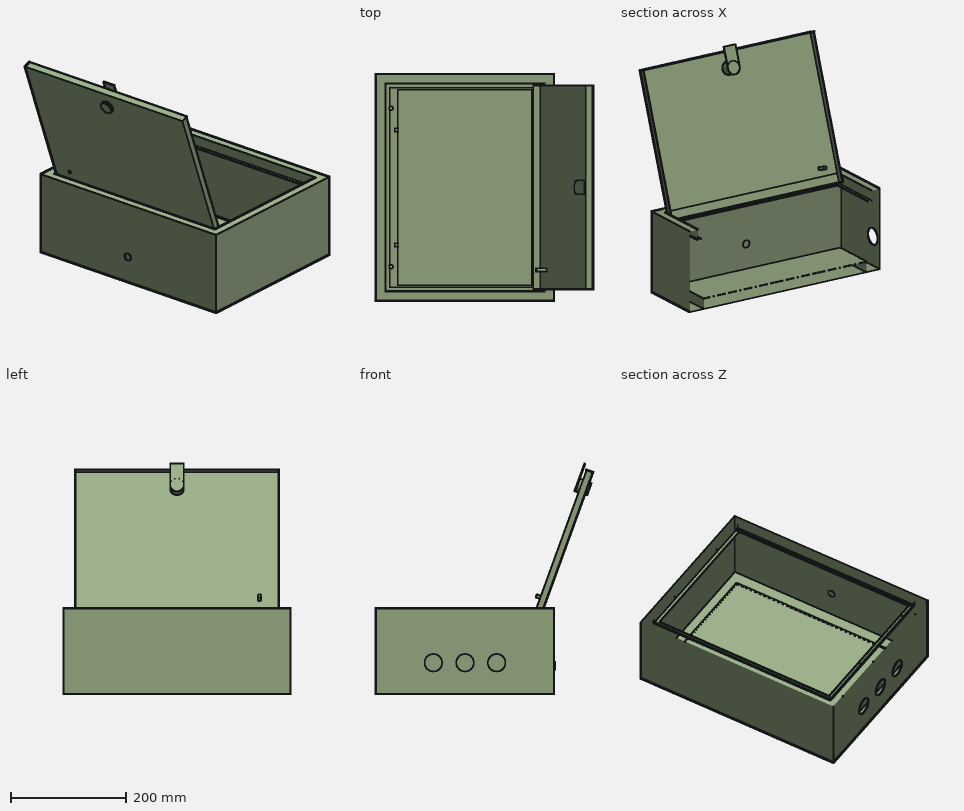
import cadquery as cq
import math


sheet = 1.5

box_x = 310.5
box_y = 395.0
box_z = 150.3
rim_width = 18.0
ledge_inset = 24.5
ledge_top = 131.5
cable_hole_diameter = 30.5
cable_hole_count = 3
cable_hole_pitch = 55.0
cable_hole_z = 55.0
fixing_hole_diameter = 6.5
fixing_hole_inset = 27.0
fixing_hole_y = 137.5
hinge_hole_diameter = 6.0
hinge_hole_inset = 29.0
hinge_hole_z = 141.0
middle_x = box_x / 2

tray_x = 232.5
tray_y = 339.0
tray_top = 21.0
tray_sheet = 2.0
screw_diameter = 6.0
screw_reach = 6.0
screw_y = 99.8
tray_min_x = middle_x - tray_x / 2
screw_z = (sheet + tray_top) / 2

door_lean = 20
door_length = 267.7
door_width = 355.0
end_flange_depth = 14.0
side_flange_depth = 12.5
door_top_x = 378.5
door_top_z = 386.0

lock_drop = 31.0
lock_diameter = 24.0
lock_head_diameter = 22.5
lock_head_thickness = 3.5
cam_width = 24.0
cam_thickness = 2.0
cam_underside = 18.0
cam_overhang = 8.5
door_stud_diameter = 6.0
door_stud_tip = 20.0
door_stud_drop = 236.0
door_stud_y = -143.0
wall_stud_diameter = 13.5
wall_stud_thickness = 1.5
wall_stud_z = 49.5

lean = math.radians(door_lean)
door_plane = cq.Plane(
    origin=(door_top_x, 0, door_top_z),
    xDir=(math.sin(lean), 0, math.cos(lean)),
    normal=(-math.cos(lean), 0, math.sin(lean)),
)


def block(x0, x1, y0, y1, z0, z1):
    """Box between two opposite corners."""
    return cq.Workplane("XY").box(x1 - x0, y1 - y0, z1 - z0, centered=False).translate((x0, y0, z0))


def centred_block(inset, z0, z1):
    """Box concentric with the enclosure, inset equally from all four outer walls."""
    half_y = box_y / 2 - inset
    return block(inset, box_x - inset, -half_y, half_y, z0, z1)


def door_block(x0, x1, y0, y1, z0, z1):
    """Box given in the frame of the door."""
    base = cq.Workplane(door_plane).workplane(offset=z0).center((x0 + x1) / 2, (y0 + y1) / 2)
    return base.rect(x1 - x0, y1 - y0).extrude(z1 - z0)


def door_cylinder(x, y, diameter, z0, z1):
    """Cylinder standing square to the door, given in the frame of the door."""
    return cq.Workplane(door_plane).workplane(offset=z0).center(x, y).circle(diameter / 2).extrude(z1 - z0)


def make_box():
    lip_inset = rim_width - sheet
    lip_bottom = ledge_top - sheet
    body = centred_block(0, 0, box_z).cut(centred_block(sheet, sheet, box_z - sheet))
    body = body.union(centred_block(lip_inset, lip_bottom, box_z))
    body = body.cut(centred_block(rim_width, ledge_top, box_z))
    body = body.cut(centred_block(ledge_inset, lip_bottom, box_z))

    cable_holes = (
        cq.Workplane("XZ", origin=(middle_x, -box_y / 2 + sheet, cable_hole_z))
        .rarray(cable_hole_pitch, 4, cable_hole_count, 1)
        .circle(cable_hole_diameter / 2)
        .extrude(sheet)
    )
    fixing_holes = (
        cq.Workplane("XY", origin=(middle_x, 0, 0))
        .rect(box_x - 2 * fixing_hole_inset, 2 * fixing_hole_y, forConstruction=True)
        .vertices()
        .circle(fixing_hole_diameter / 2)
        .extrude(sheet)
    )
    lip_gap = box_y - 2 * lip_inset
    hinge_holes = (
        cq.Workplane("XZ", origin=(middle_x, lip_gap / 2, hinge_hole_z))
        .rarray(box_x - 2 * hinge_hole_inset, 4, 2, 1)
        .circle(hinge_hole_diameter / 2)
        .extrude(lip_gap)
    )
    return body.cut(cable_holes).cut(fixing_holes).cut(hinge_holes)


def make_screw(y):
    """Screw through the -X skirt of the tray."""
    start = cq.Workplane("YZ", origin=(tray_min_x - screw_reach, y, screw_z))
    return start.circle(screw_diameter / 2).extrude(screw_reach + tray_sheet)


def make_tray(screws):
    half_y = tray_y / 2
    tray_max_x = tray_min_x + tray_x
    outside = block(tray_min_x, tray_max_x, -half_y, half_y, sheet, tray_top)
    inside = block(
        tray_min_x + tray_sheet,
        tray_max_x - tray_sheet,
        -half_y + tray_sheet,
        half_y - tray_sheet,
        sheet,
        tray_top - tray_sheet,
    )
    tray = outside.cut(inside)
    for screw in screws:
        tray = tray.cut(screw)
    return tray


def make_door():
    half = door_width / 2
    door = door_block(-door_length, 0, -half, half, 0, sheet)
    for x in (-door_length, -sheet):
        door = door.union(door_block(x, x + sheet, -half, half, 0, end_flange_depth))
    for y in (-half, half - sheet):
        door = door.union(door_block(-door_length, 0, y, y + sheet, 0, side_flange_depth))
    return door.cut(door_cylinder(-lock_drop, 0, lock_diameter, 0, sheet))


def make_lock():
    barrel = door_cylinder(-lock_drop, 0, lock_diameter, 0, cam_underside)
    head = door_cylinder(-lock_drop, 0, lock_head_diameter, -lock_head_thickness, 0)
    return barrel.union(head)


def make_cam():
    top = cam_underside + cam_thickness
    arm = door_block(-lock_drop, cam_overhang, -cam_width / 2, cam_width / 2, cam_underside, top)
    return arm.union(door_cylinder(-lock_drop, 0, cam_width, cam_underside, top))


box = make_box()
screws = [make_screw(y) for y in (-screw_y, screw_y)]
tray = make_tray(screws)
door = make_door()
lock = make_lock()
cam = make_cam()
door_stud = door_cylinder(-door_stud_drop, door_stud_y, door_stud_diameter, sheet, door_stud_tip)
wall_stud = (
    cq.Workplane("YZ", origin=(box_x, 0, wall_stud_z))
    .circle(wall_stud_diameter / 2)
    .extrude(wall_stud_thickness)
)

result = cq.Compound.makeCompound([
    box.val(),
    tray.val(),
    *[screw.val() for screw in screws],
    door.val(),
    lock.val(),
    cam.val(),
    door_stud.val(),
    wall_stud.val(),
])